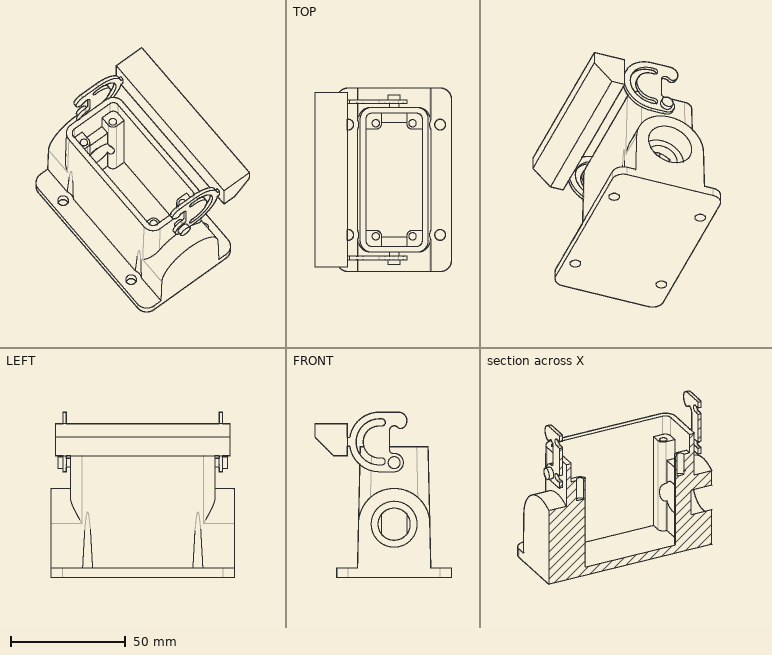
import cadquery as cq
import math

flange_x = 50.0
flange_y = 80.0
flange_t = 4.2
flange_corner_r = 5.0
screw_x = 20.0
screw_y = 24.0
screw_hole_r = 2.3
screw_head_r = 4.55

housing_y = 63.0
housing_top_z = 57.0
housing_base_half_x = 16.0
housing_top_half_x = 14.8
housing_corner_r = 5.0
taper = math.atan((housing_base_half_x - housing_top_half_x) / (housing_top_z - flange_t))

entry_z = 23.2
entry_r = 10.0
entry_depth = 10.0
entry_throat_r = 7.0

hub_mid_half_x = housing_base_half_x - (entry_z - flange_t) * math.tan(taper)
hub_r = hub_mid_half_x * math.cos(taper)

cavity_half_x = 12.25
cavity_half_y = 29.0
cavity_corner_r = 2.5
cavity_floor_z = flange_t
lower_cavity_half_y = 25.0
ledge_z = entry_z + hub_r

post_inner_x = 5.5
post_inner_y = 22.0
post_top_z = 48.0
post_edge_r = 2.5
post_hole_x = 8.0
post_hole_y = 24.6
post_hole_r = 1.6
post_hole_depth = 10.0

plate_inner_y = 33.2
plate_t = 1.6
plate_outer_y = plate_inner_y + plate_t
pivot_z = 50.0
pivot_eye_r = 4.0
lever_r = 13.0
lever_x = -6.5
lever_z = pivot_z - pivot_eye_r + lever_r
lever_top_z = lever_z + lever_r
eye_fillet_r = 1.5
notch_r = 2.0
notch_z = 64.0
throat_x = -notch_r
nose_r = 3.75
nose_x = 1.85
nose_tip_r = 1.75
slot_outer_r = 10.0
slot_inner_r = 7.0
slot_end_x = -5.4

pin_r = 2.0
pin_head_r = 2.6
pin_head_end_y = 36.9

bar_left_x = -34.5
bar_right_x = -20.4
bar_top_z = 67.0
bar_size = bar_right_x - bar_left_x
bar_bottom_z = bar_top_z - bar_size
bar_chamfer = 8.15
bar_y = 76.0
stub_h = 3.9


def y_prism(sketch, y_start, y_end):
    """Extrude an XZ sketch between two Y positions."""
    return sketch.extrude(y_start - y_end).translate((0, y_start, 0))


def y_cylinder(radius, z, y_start, y_end):
    """Cylinder along Y, centred on x = 0."""
    return y_prism(cq.Workplane("XZ").center(0, z).circle(radius), y_start, y_end)


def box_between(half_x, half_y, z_low, z_high):
    """Box centred on the Z axis between two heights."""
    box = cq.Workplane("XY").workplane(offset=z_low).rect(2 * half_x, 2 * half_y)
    return box.extrude(z_high - z_low)


def four_corners(x, y):
    return [(side_x * x, side_y * y) for side_x in (-1, 1) for side_y in (-1, 1)]


def make_flange():
    flange = box_between(flange_x / 2, flange_y / 2, 0, flange_t)
    return flange.edges("|Z").fillet(flange_corner_r)


def make_housing():
    outline = (
        cq.Workplane("XZ")
        .moveTo(-housing_base_half_x, flange_t)
        .lineTo(housing_base_half_x, flange_t)
        .lineTo(housing_top_half_x, housing_top_z)
        .lineTo(-housing_top_half_x, housing_top_z)
        .close()
    )
    housing = y_prism(outline, -housing_y / 2, housing_y / 2)
    return housing.edges("#Y exc |X").fillet(housing_corner_r)


def make_hub():
    tangent_x = hub_r * math.cos(taper)
    tangent_z = entry_z + hub_r * math.sin(taper)
    outline = (
        cq.Workplane("XZ")
        .moveTo(-housing_base_half_x, flange_t)
        .lineTo(housing_base_half_x, flange_t)
        .lineTo(tangent_x, tangent_z)
        .threePointArc((0, entry_z + hub_r), (-tangent_x, tangent_z))
        .close()
    )
    return y_prism(outline, -flange_y / 2, flange_y / 2)


def make_screw_cuts():
    """Screw holes, with head clearance scooped out of the housing sides."""
    centres = four_corners(screw_x, screw_y)
    holes = cq.Workplane("XY").pushPoints(centres).circle(screw_hole_r).extrude(flange_t)
    heads = cq.Workplane("XY").workplane(offset=flange_t).pushPoints(centres).circle(screw_head_r)
    return holes.union(heads.extrude(housing_top_z - flange_t))


def make_posts():
    """Four corner posts, their outer sides running into the cavity walls."""
    size_x = housing_base_half_x - post_inner_x
    size_y = housing_y / 2 - post_inner_y
    height = post_top_z - cavity_floor_z
    post = (
        cq.Workplane("XY")
        .box(size_x, size_y, height, centered=False)
        .edges("|Z and <X and <Y")
        .fillet(post_edge_r)
        .translate((post_inner_x, post_inner_y, cavity_floor_z))
    )
    pair = post.union(post.mirror("YZ"))
    return pair.union(pair.mirror("XZ"))


def make_cavity():
    upper = box_between(cavity_half_x, cavity_half_y, ledge_z, housing_top_z)
    upper = upper.edges("|Z").fillet(cavity_corner_r)
    lower = box_between(cavity_half_x, lower_cavity_half_y, cavity_floor_z, ledge_z)
    return upper.union(lower).cut(make_posts())


def make_post_holes():
    centres = four_corners(post_hole_x, post_hole_y)
    holes = cq.Workplane("XY").workplane(offset=post_top_z).pushPoints(centres).circle(post_hole_r)
    return holes.extrude(-post_hole_depth)


def make_cable_entry():
    mouth_y = -flange_y / 2
    mouth = y_cylinder(entry_r, entry_z, mouth_y, mouth_y + entry_depth)
    throat = y_cylinder(entry_throat_r, entry_z, mouth_y, -post_inner_y)
    return mouth.union(throat)


def make_lever_plate():
    """Side plate on the -Y end: a half disc with a pivot eye and a hooked nose."""
    notch = cq.Vector(0, notch_z)
    nose = cq.Vector(nose_x, lever_top_z - nose_r)

    tip_to_notch = notch_r + nose_tip_r
    tip_to_nose = nose_r - nose_tip_r
    span = (nose - notch).Length
    along = (tip_to_notch**2 - tip_to_nose**2 + span**2) / (2 * span)
    aside = math.sqrt(tip_to_notch**2 - along**2)
    axis = (nose - notch).normalized()
    tip = notch + axis * along + cq.Vector(axis.y, -axis.x) * aside
    nose_to_tip = nose + (tip - nose).normalized() * nose_r
    tip_to_throat = notch + (tip - notch).normalized() * notch_r

    outline = (
        cq.Workplane("XZ")
        .moveTo(lever_x, lever_top_z)
        .lineTo(nose_x, lever_top_z)
        .threePointArc((nose_x + nose_r, nose.y), (nose_to_tip.x, nose_to_tip.y))
        .threePointArc((tip.x, tip.y - nose_tip_r), (tip_to_throat.x, tip_to_throat.y))
        .threePointArc((0, notch_z + notch_r), (throat_x, notch_z))
        .lineTo(throat_x, pivot_z + pivot_eye_r + eye_fillet_r)
        .radiusArc((throat_x + eye_fillet_r, pivot_z + pivot_eye_r), -eye_fillet_r)
        .lineTo(0, pivot_z + pivot_eye_r)
        .threePointArc((pivot_eye_r, pivot_z), (0, pivot_z - pivot_eye_r))
        .lineTo(lever_x, pivot_z - pivot_eye_r)
        .threePointArc((lever_x - lever_r, lever_z), (lever_x, lever_top_z))
        .close()
    )
    plate = y_prism(outline, -plate_outer_y, -plate_inner_y)
    return plate.cut(make_lever_slot())


def make_lever_slot():
    """Curved slot running concentric with the lever's round edge."""
    end_r = (slot_outer_r - slot_inner_r) / 2
    mid_r = (slot_outer_r + slot_inner_r) / 2
    outline = (
        cq.Workplane("XZ")
        .moveTo(slot_end_x, lever_z + slot_outer_r)
        .lineTo(lever_x, lever_z + slot_outer_r)
        .threePointArc((lever_x - slot_outer_r, lever_z), (lever_x, lever_z - slot_outer_r))
        .lineTo(slot_end_x, lever_z - slot_outer_r)
        .threePointArc((slot_end_x + end_r, lever_z - mid_r), (slot_end_x, lever_z - slot_inner_r))
        .lineTo(lever_x, lever_z - slot_inner_r)
        .threePointArc((lever_x - slot_inner_r, lever_z), (lever_x, lever_z + slot_inner_r))
        .lineTo(slot_end_x, lever_z + slot_inner_r)
        .threePointArc((slot_end_x + end_r, lever_z + mid_r), (slot_end_x, lever_z + slot_outer_r))
        .close()
    )
    return y_prism(outline, -plate_outer_y, -plate_inner_y)


def make_lever_side():
    """Plate, pivot pin and bar stub on the -Y end."""
    shank = y_cylinder(pin_r, pivot_z, -plate_outer_y, -housing_y / 2)
    head = y_cylinder(pin_head_r, pivot_z, -pin_head_end_y, -plate_outer_y)
    stub_end_x = lever_x - (lever_r + slot_outer_r) / 2
    stub_sketch = (
        cq.Workplane("XZ")
        .center((bar_right_x + stub_end_x) / 2, lever_z)
        .rect(stub_end_x - bar_right_x, stub_h)
    )
    stub = y_prism(stub_sketch, -plate_outer_y, -plate_inner_y)
    return make_lever_plate().union(shank).union(head).union(stub)


def make_bar():
    outline = (
        cq.Workplane("XZ")
        .moveTo(bar_left_x, bar_top_z)
        .lineTo(bar_right_x, bar_top_z)
        .lineTo(bar_right_x, bar_bottom_z)
        .lineTo(bar_left_x + bar_chamfer, bar_bottom_z)
        .lineTo(bar_left_x, bar_bottom_z + bar_chamfer)
        .close()
    )
    return y_prism(outline, -bar_y / 2, bar_y / 2)


body = make_flange().union(make_housing()).union(make_hub())
body = body.cut(make_screw_cuts()).cut(make_cavity())
body = body.cut(make_post_holes()).cut(make_cable_entry())

lever_side = make_lever_side()
lever = make_bar().union(lever_side).union(lever_side.mirror("XZ"))

result = body.union(lever)